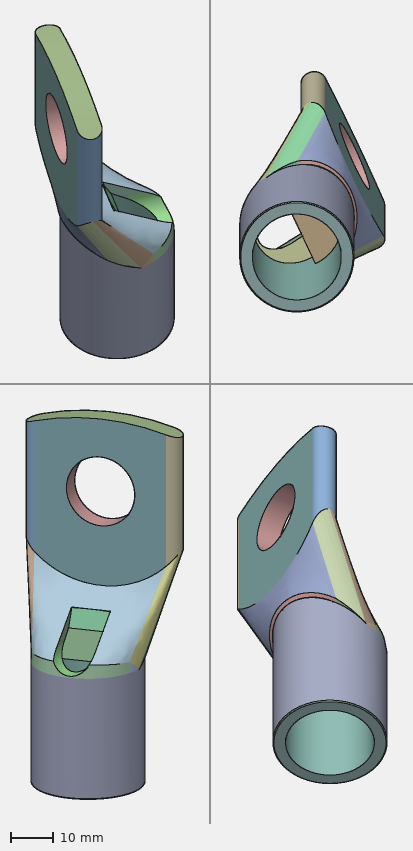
import cadquery as cq
import math


total_height = 87.4
barrel_diameter = 27.0
bore_diameter = 21.0
shoulder_height = 30.0
end_chamfer = 0.3
barrel_radius = barrel_diameter / 2
bore_radius = bore_diameter / 2
wall = barrel_radius - bore_radius

palm_width = 39.0
palm_thickness = 6.0
part_depth = 28.5
hole_diameter = 17.0
hole_height = 69.4
top_sagitta = 3.15
palm_root_height = 46.05
palm_root_rise = 10.05
palm_front = barrel_radius - part_depth
palm_back = palm_front + palm_thickness
palm_middle = palm_front + palm_thickness / 2
half_width = palm_width / 2
flat_half_width = half_width - palm_thickness / 2

fold_y = 1.75
tilt_slope = 0.53
rear_seam_y = 5.4
front_seam_y = -6.2

collar_top = (0, 12.9, 33.4)
collar_seam = (12.2, 5.15, 32.6)
collar_side = (13.0, 3.4, 31.3)
front_lip_y = -14.1
front_lip_rise = 0.7
lip_seam_x = 12.9
lip_seam_rise = 0.3
lip_side_x = 13.6
lip_side_y = -2.2

window_width = 9.7
window_bottom = 30.4
window_top = 42.2
window_front_y = -2.4
window_half_width = window_width / 2
roof_height = 37.75


def barrel_x(y):
    return math.sqrt(barrel_radius**2 - y**2)


def on_tilt(x, y, rise=0):
    """Point above the tilted front plane at (x, y), by the given rise."""
    return x, y, shoulder_height + tilt_slope * (fold_y - y) + rise


def on_barrel(y, side=1):
    """Point on the side of the barrel, at the base of the transition."""
    height = shoulder_height + tilt_slope * max(fold_y - y, 0)
    return side * barrel_x(y), y, height


def mirrored(point, side):
    return side * point[0], point[1], point[2]


def make_palm():
    """Round-edged plate with a crowned top and an arc at its root."""
    front_shape = (
        cq.Workplane("XZ", origin=(0, palm_back, 0))
        .moveTo(-half_width, palm_root_height + palm_root_rise)
        .threePointArc((0, palm_root_height), (half_width, palm_root_height + palm_root_rise))
        .lineTo(half_width, total_height - top_sagitta)
        .threePointArc((0, total_height), (-half_width, total_height - top_sagitta))
        .close()
        .extrude(palm_thickness)
    )
    section = (
        cq.Workplane("XY")
        .moveTo(-flat_half_width, palm_front)
        .lineTo(flat_half_width, palm_front)
        .radiusArc((half_width, palm_middle), -palm_thickness / 2)
        .radiusArc((flat_half_width, palm_back), -palm_thickness / 2)
        .lineTo(-flat_half_width, palm_back)
        .radiusArc((-half_width, palm_middle), -palm_thickness / 2)
        .radiusArc((-flat_half_width, palm_front), -palm_thickness / 2)
        .close()
        .extrude(total_height, clean=False)
    )
    return section.intersect(front_shape, clean=False)


def make_palm_hole():
    return (
        cq.Workplane("XZ", origin=(0, palm_back, 0))
        .center(0, hole_height)
        .circle(hole_diameter / 2)
        .extrude(palm_thickness)
    )


def make_barrel():
    """Solid barrel whose front rises to the tilted plane."""
    top_y = barrel_radius + wall
    side = (
        cq.Workplane("YZ")
        .moveTo(top_y, 0)
        .lineTo(top_y, shoulder_height)
        .lineTo(fold_y, shoulder_height)
        .lineTo(-top_y, on_tilt(0, -top_y)[2])
        .lineTo(-top_y, 0)
        .close()
        .extrude(barrel_radius, both=True)
    )
    barrel = cq.Workplane("XY").circle(barrel_radius).extrude(total_height)
    return barrel.intersect(side).faces("<Z").chamfer(end_chamfer)


def base_arcs():
    """Start, middle and end of each arc on the barrel, keyed by the palm region above it."""
    arcs = {
        ("back", 0): (on_barrel(rear_seam_y, -1), on_barrel(barrel_radius), on_barrel(rear_seam_y)),
        ("front", 0): (on_barrel(front_seam_y, -1), on_barrel(-barrel_radius), on_barrel(front_seam_y)),
    }
    for side in (-1, 1):
        for depth, seam_y in (("back", rear_seam_y), ("front", front_seam_y)):
            arcs[depth, side] = (
                on_barrel(fold_y, side),
                on_barrel((fold_y + seam_y) / 2, side),
                on_barrel(seam_y, side),
            )
    return arcs


def rim_arcs():
    """Start, middle and end of each arc on the rim, in the order of the base arcs."""
    lip_seam = on_tilt(lip_seam_x, front_seam_y, lip_seam_rise)
    lip_side = on_tilt(lip_side_x, lip_side_y)
    lip_front = on_tilt(0, front_lip_y, front_lip_rise)
    arcs = {
        ("back", 0): (mirrored(collar_seam, -1), collar_top, collar_seam),
        ("front", 0): (mirrored(lip_seam, -1), lip_front, lip_seam),
    }
    for side in (-1, 1):
        fold_end = on_barrel(fold_y, side)
        arcs["back", side] = (fold_end, mirrored(collar_side, side), mirrored(collar_seam, side))
        arcs["front", side] = (fold_end, mirrored(lip_side, side), mirrored(lip_seam, side))
    return arcs


def arc_edge(points):
    return cq.Edge.makeThreePointArc(*(cq.Vector(*point) for point in points))


def palm_region(edge):
    """Region of the palm root that an edge belongs to."""
    middle = edge.positionAt(0.5)
    depth = "back" if middle.y > palm_middle else "front"
    if abs(middle.x) < flat_half_width:
        return depth, 0
    return depth, int(math.copysign(1, middle.x))


def straight_ruled_face(points, palm_edge):
    """Ruled face from the arc through three points to a palm edge, without a twist."""
    faces = [
        cq.Face.makeRuledSurface(arc_edge(ordered), palm_edge)
        for ordered in (points, points[::-1])
    ]
    return min(faces, key=lambda face: face.outerWire().Length())


def make_transition(palm):
    """Skin from the barrel over the rim to the arc at the root of the palm."""
    base = {region: arc_edge(points) for region, points in base_arcs().items()}
    rim = rim_arcs()
    root = palm.faces("<Z").val()
    faces = [root]
    for palm_edge in root.outerWire().Edges():
        region = palm_region(palm_edge)
        faces.append(cq.Face.makeRuledSurface(base[region], arc_edge(rim[region])))
        faces.append(straight_ruled_face(rim[region], palm_edge))
    fold_ends = [cq.Vector(*on_barrel(fold_y, side)) for side in (-1, 1)]
    fold = cq.Edge.makeLine(*fold_ends)
    for depth in ("back", "front"):
        outline = [fold] + [base[depth, side] for side in (1, 0, -1)]
        faces.append(cq.Face.makeFromWires(cq.Wire.assembleEdges(outline)))
    return cq.Workplane(cq.Solid.makeSolid(cq.Shell.makeShell(faces)))


def make_cavity():
    """Bore, with a wedge-shaped end under the sloping rear wall."""
    bore = cq.Workplane("XY").circle(bore_radius).extrude(total_height)
    side = (
        cq.Workplane("YZ")
        .moveTo(-bore_radius, 0)
        .lineTo(bore_radius, 0)
        .lineTo(bore_radius, shoulder_height)
        .lineTo(0, roof_height)
        .lineTo(0, shoulder_height)
        .lineTo(-bore_radius, shoulder_height)
        .close()
        .extrude(bore_radius, both=True)
    )
    return bore.intersect(side)


def make_window():
    """Round-bottomed opening from the back, with a sloping front end."""
    opening = (
        cq.Workplane("XZ", origin=(0, part_depth, 0))
        .moveTo(-window_half_width, window_top)
        .lineTo(-window_half_width, window_bottom + window_half_width)
        .threePointArc(
            (0, window_bottom),
            (window_half_width, window_bottom + window_half_width),
        )
        .lineTo(window_half_width, window_top)
        .close()
        .extrude(2 * part_depth)
    )
    side = (
        cq.Workplane("YZ")
        .moveTo(0, shoulder_height)
        .lineTo(part_depth, shoulder_height)
        .lineTo(part_depth, window_top)
        .lineTo(window_front_y, window_top)
        .lineTo(0, roof_height)
        .close()
        .extrude(window_half_width, both=True)
    )
    return opening.intersect(side)


palm = make_palm()
body = make_barrel().union(make_transition(palm)).union(palm)
result = body.cut(make_cavity()).cut(make_window()).cut(make_palm_hole())